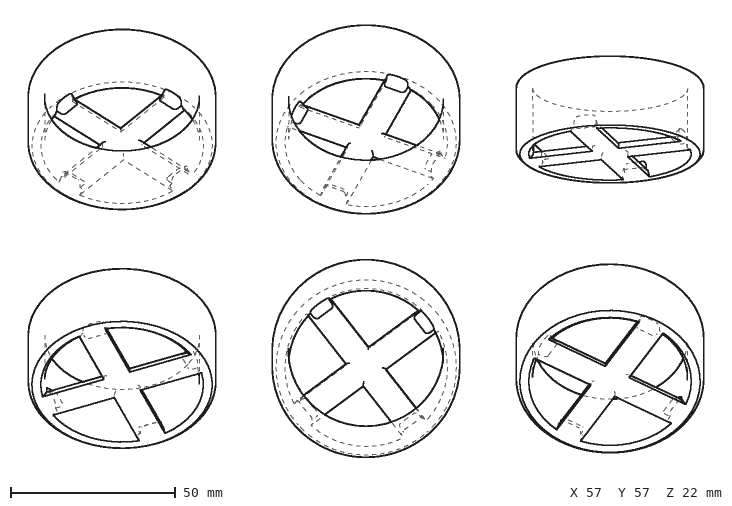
import cadquery as cq

outer_diameter = 57.0
bore_diameter = 47.0
ring_height = 22.0
rim_radius = 1.0
foot_chamfer = 1.15
foot_radius = 0.95

arm_width = 8.5
arm_height = 2.0
arm_edge_radius = 0.75

stop_width = 7.0
stop_inner_reach = 20.5
stop_edge_radius = 1.0

outer_radius = outer_diameter / 2
bore_radius = bore_diameter / 2
wall_middle = (outer_radius + bore_radius) / 2


def make_ring():
    ring = cq.Workplane("XY").circle(outer_radius).circle(bore_radius).extrude(ring_height)
    ring = ring.faces(">Z").edges().fillet(rim_radius)
    ring = ring.faces("<Z").chamfer(foot_chamfer)
    return ring.faces("%CYLINDER").edges("<Z").fillet(foot_radius)


def make_cross():
    arm_length = 2 * wall_middle
    cross = cq.Workplane("XY").rect(arm_length, arm_width).extrude(arm_height)
    cross = cross.union(cq.Workplane("XY").rect(arm_width, arm_length).extrude(arm_height))
    return cross.faces(">Z").edges().fillet(arm_edge_radius)


def make_stop():
    """Wedge on the +X arm, rising outward at 45 degrees into the wall."""
    rise = wall_middle - stop_inner_reach
    profile = [
        (stop_inner_reach, arm_height),
        (wall_middle, arm_height),
        (wall_middle, arm_height + rise),
    ]
    wedge = cq.Workplane("XZ").polyline(profile).close().extrude(stop_width / 2, both=True)
    slope_sides = wedge.edges("not (#X or #Z)")
    return slope_sides.fillet(stop_edge_radius)


result = make_ring().union(make_cross())
stop = make_stop()
for quarter in range(4):
    result = result.union(stop.rotate((0, 0, 0), (0, 0, 1), 90 * quarter))